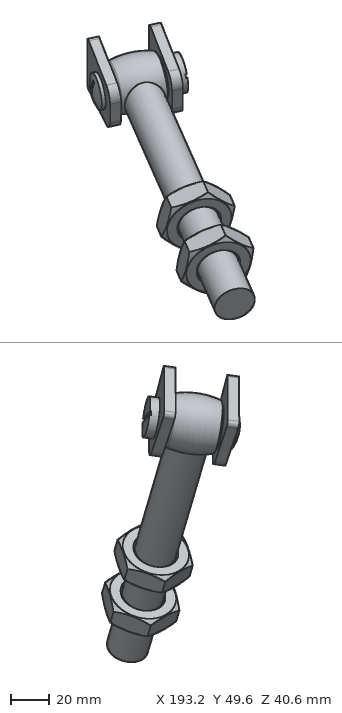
import cadquery as cq
import math


overall_length = 193.2
rod_diameter = 22.0
eye_radius = 16.0
eye_rim_radius = 14.1
eye_half_width = 13.0
eye_rim_fillet = 1.0

plate_thickness = 6.0
plate_inner_y = 14.0
plate_back_x = 22.5
plate_length = 40.0
plate_wide_height = 36.5
plate_taper_angle = 7.0
plate_back_fillet = 2.5
plate_front_fillet = 7.7

washer_diameter = 23.5
washer_thickness = plate_inner_y - eye_half_width

plate_outer_y = plate_inner_y + plate_thickness
shank_diameter = 12.0
screw_head_diameter = 20.1
screw_head_rim = 2.1
screw_dome_height = 2.5
screw_slot_width = 2.0
screw_slot_depth = 1.4
screw_slot_tilt = 4.0
cap_diameter = 21.8
cap_height = 5.0
cap_slot_width = 2.0
cap_slot_depth = 0.8
cap_slot_tilt = 33.0
cap_floor = 2.0

nut_sides = 6
nut_across_flats = 36.0
nut_thickness = 12.0
nut_chamfer_diameter = 35.2
nut_chamfer_angle = 30.0
nut_countersink = 1.0
first_nut_x = 97.0
nut_pitch = 33.5
nut_turns = [15.0, 17.5]

rod_end_x = overall_length - plate_back_x
shank_end_y = plate_outer_y + cap_height - cap_floor


def y_cylinder(diameter, start_y, end_y):
    """Cylinder on the pivot axis."""
    circle = cq.Workplane("XZ", origin=(0, start_y, 0)).circle(diameter / 2)
    return circle.extrude(start_y - end_y)


def make_eye_bolt():
    eye = (
        cq.Workplane("XY")
        .moveTo(0, -eye_half_width)
        .lineTo(eye_rim_radius, -eye_half_width)
        .threePointArc((eye_radius, 0), (eye_rim_radius, eye_half_width))
        .lineTo(0, eye_half_width)
        .close()
        .revolve(360, (0, 0, 0), (0, 1, 0))
        .faces("<Y or >Y")
        .edges()
        .fillet(eye_rim_fillet)
    )
    rod = cq.Workplane("YZ").circle(rod_diameter / 2).extrude(rod_end_x)
    bore = y_cylinder(shank_diameter, -eye_half_width, eye_half_width)
    return eye.union(rod).cut(bore)


def make_plate(start_y):
    """Tapered plate whose face of lower Y lies at start_y."""
    slope = math.tan(math.radians(plate_taper_angle))
    wide_z = plate_wide_height / 2 + plate_back_fillet * slope
    narrow_z = wide_z - plate_length * slope
    front_x = plate_length - plate_back_x
    outline = [
        (-plate_back_x, -wide_z),
        (front_x, -narrow_z),
        (front_x, narrow_z),
        (-plate_back_x, wide_z),
    ]
    plate = cq.Workplane("XZ", origin=(0, start_y, 0)).polyline(outline).close().extrude(-plate_thickness)
    plate = plate.edges("|Y and <X").fillet(plate_back_fillet)
    plate = plate.edges("|Y and >X").fillet(plate_front_fillet)
    return plate.cut(y_cylinder(shank_diameter, start_y, start_y + plate_thickness))


def make_washer(start_y):
    end_y = start_y + washer_thickness
    disc = y_cylinder(washer_diameter, start_y, end_y)
    return disc.cut(y_cylinder(shank_diameter, start_y, end_y))


def make_pivot_screw():
    head_radius = screw_head_diameter / 2
    shank_radius = shank_diameter / 2
    rim_y = -plate_outer_y - screw_head_rim
    crown_y = rim_y - screw_dome_height
    dome_radius = (head_radius**2 + screw_dome_height**2) / (2 * screw_dome_height)
    dome_middle_x = head_radius / 2
    dome_middle_y = crown_y + dome_radius - math.sqrt(dome_radius**2 - dome_middle_x**2)
    screw = (
        cq.Workplane("XY")
        .moveTo(0, crown_y)
        .threePointArc((dome_middle_x, dome_middle_y), (head_radius, rim_y))
        .lineTo(head_radius, -plate_outer_y)
        .lineTo(shank_radius, -plate_outer_y)
        .lineTo(shank_radius, shank_end_y)
        .lineTo(0, shank_end_y)
        .close()
        .revolve(360, (0, 0, 0), (0, 1, 0))
    )
    slot = (
        cq.Workplane("XZ", origin=(0, crown_y, 0))
        .rect(screw_slot_width, screw_head_diameter)
        .extrude(-screw_slot_depth)
        .rotate((0, 0, 0), (0, 1, 0), -screw_slot_tilt)
    )
    return screw.cut(slot)


def make_cap_nut():
    end_y = plate_outer_y + cap_height
    cap = y_cylinder(cap_diameter, plate_outer_y, end_y)
    socket = y_cylinder(shank_diameter, plate_outer_y, shank_end_y)
    slot = (
        cq.Workplane("XZ", origin=(0, end_y, 0))
        .rect(2 * cap_diameter, cap_slot_width)
        .extrude(cap_slot_depth)
        .rotate((0, 0, 0), (0, 1, 0), -cap_slot_tilt)
    )
    return cap.cut(socket).cut(slot)


def make_hex_nut(start_x, turn):
    """Hexagon nut on the rod, chamfered at both ends."""
    corner_diameter = nut_across_flats / math.cos(math.pi / nut_sides)
    chamfer_width = (corner_diameter - nut_chamfer_diameter) / 2
    chamfer_depth = chamfer_width * math.tan(math.radians(nut_chamfer_angle))
    workplane = cq.Workplane("YZ", origin=(start_x, 0, 0))
    hexagon = workplane.polygon(nut_sides, corner_diameter).extrude(nut_thickness)
    hexagon = hexagon.rotate((0, 0, 0), (1, 0, 0), turn)
    envelope = (
        workplane.circle(corner_diameter / 2)
        .extrude(nut_thickness)
        .faces("<X or >X")
        .chamfer(chamfer_depth, chamfer_width)
    )
    nut = hexagon.intersect(envelope).cut(workplane.circle(rod_diameter / 2).extrude(nut_thickness))
    bore_edges = nut.edges(cq.selectors.RadiusNthSelector(0))
    return bore_edges.chamfer(nut_countersink)


eye_bolt = make_eye_bolt()
plates = [make_plate(start_y) for start_y in (-plate_outer_y, plate_inner_y)]
washers = [make_washer(start_y) for start_y in (-plate_inner_y, eye_half_width)]
pivot_screw = make_pivot_screw()
cap_nut = make_cap_nut()
hex_nuts = [make_hex_nut(first_nut_x + i * nut_pitch, turn) for i, turn in enumerate(nut_turns)]

bodies = [eye_bolt, *plates, *washers, pivot_screw, cap_nut, *hex_nuts]
result = cq.Compound.makeCompound([body.val() for body in bodies])